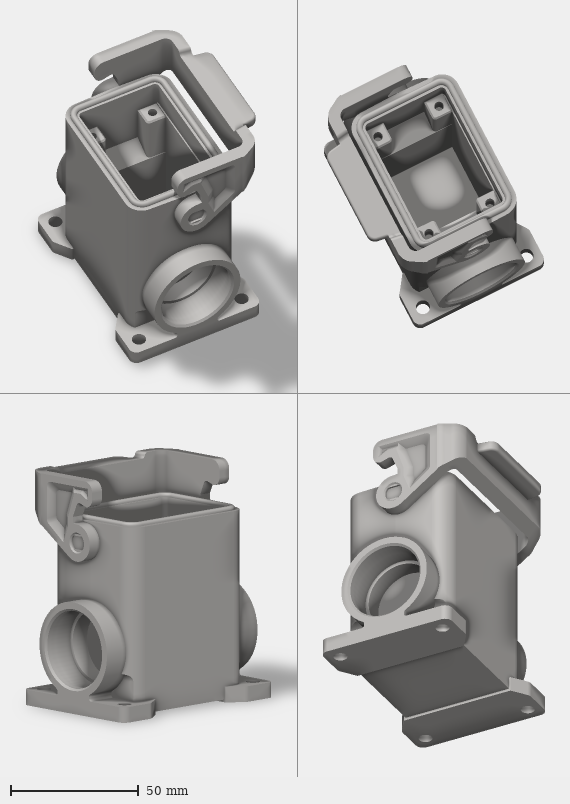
import cadquery as cq
import math

overall_length = 82.0
overlap = 0.9

body_half_x = 31.2
body_half_y = 23.0
body_corner_radius = 7.0
body_bottom = 1.1
body_top = 75.4
side_peak_x = 31.7

bead_half_x = 29.7
bead_half_y = 21.2
bead_width = 2.6
bead_height = 1.6
bead_round = 1.2
bead_corner_radius = 5.5

cavity_half_x = 26.1
cavity_half_y = 17.6
cavity_lower_half_y = 17.0
cavity_corner_radius = 1.85
cavity_floor = 4.6
ledge_z = 64.9

block_inner_x = 17.6
block_top_at_wall = 48.05
block_top_inside = 43.4

post_inner_x = 17.7
post_inner_y = 9.0
post_corner_radius = 1.5
post_top = 64.3
post_chamfer = 0.65
post_hole_x = 21.9
post_hole_y = 13.4
post_hole_radius = 1.85
post_hole_depth = 9.2

foot_half_x = overall_length / 2
foot_half_y = 28.55
foot_thickness = 6.2
foot_corner_radius = 3.1
foot_inner_x = 19.1
foot_inner_y = 23.7
foot_bevel_x = 26.1
foot_bevel_round = 2.8
foot_hole_x = 34.9
foot_hole_y = 22.7
foot_hole_radius = 2.8

recess_x = 28.8
recess_top = 16.9
recess_round = 2.8

boss_z = 25.4
boss_radius = 19.0
boss_bore_radius = 15.4
boss_mouth_radius = 16.3
boss_seat_x = 27.7
boss_inner_bore_radius = 14.0
boss_bore_end_x = 19.9
web_half_y = 8.9
web_round = 1.1

lever_half_x = 37.3
arm_inner_x = 32.0
lever_back_y = 30.8
lever_bar_inner_y = 26.0
lever_bulge_x = 37.6
lever_bulge_y = 21.8
lever_bulge_radius = 5.7
lever_flat_front = (36.5, 24.6)
lever_flat_back = (35.2, 26.8)
lever_corner_radius = 6.65
lever_corner_x = 29.8
lever_inner_radius = 3.1
lever_top = 92.4
lever_back_bottom = 78.1
lever_nose_y = -6.8
hub_y = 1.85
hub_z = 67.3
hub_radius = 7.4
nose_top_radius = 4.0
nose_bottom_radius = 3.2
nose_bottom = 82.2
throat_y = 4.0
throat_bottom = 74.8
throat_bend_z = 77.4
throat_top_y = 1.3
throat_top_z = 83.7
throat_round = 1.7

pocket_depth = 2.0
pocket_taper = 57.0
pocket_top = 89.7
pocket_back_y = 18.6
pocket_back_bottom = 73.55
pocket_tail = (9.2, 66.5)
pocket_front_low = (6.7, 73.0)
pocket_front_bend = (6.7, 76.9)
pocket_front_high = (3.5, 86.1)
pocket_round = 4.2
slot_depth = 0.8
slot_overlap = 1.1
slot_bottom = 87.1
slot_bend_y = -0.4
slot_front_y = -4.4
slot_front_bottom = 85.0
pivot_radius = 4.2
pivot_chamfer = 0.6
pivot_key_height = 5.45
pivot_key_depth = 1.4

tab_top = 90.1
tab_bottom = 85.9
tab_tip_y = 38.0
tab_root_half_x = 21.6
tab_tip_half_x = 19.7
tab_corner_radius = 3.3
tab_round = 0.8
notch_run = 3.0
notch_flare = 0.7


def rounded_box(half_x, half_y, radius, bottom, top):
    """Upright box centered on the Z axis, with rounded vertical edges."""
    box = cq.Workplane("XY").workplane(offset=bottom).rect(2 * half_x, 2 * half_y).extrude(top - bottom)
    return box.edges("|Z").fillet(radius)


def both_ends(shape):
    """The shape together with its mirror image at the opposite X end."""
    return shape.union(shape.mirror("YZ"))


def end_cylinder(radius, y, z, x_start, x_end):
    """Cylinder along X at the -X end, between two distances from the middle."""
    return cq.Workplane("YZ", origin=(-x_end, y, z)).circle(radius).extrude(x_end - x_start)


def end_countersink(outer_radius, inner_radius, y, z, x_outer):
    """45 degree countersink narrowing inward from a face at the -X end."""
    depth = outer_radius - inner_radius
    cone = cq.Solid.makeCone(
        outer_radius, inner_radius, depth, pnt=cq.Vector(-x_outer, y, z), dir=cq.Vector(1, 0, 0)
    )
    return cq.Workplane(cone)


def make_shell():
    """Solid block of the housing with slightly bulging end walls and recesses above the feet."""
    shell = rounded_box(body_half_x, body_half_y, body_corner_radius, body_bottom, body_top)
    corner_y = body_half_y - body_corner_radius
    bulge = (
        cq.Workplane("XY").workplane(offset=body_bottom)
        .polyline([
            (-side_peak_x, 0), (-body_half_x, corner_y), (body_half_x, corner_y),
            (side_peak_x, 0), (body_half_x, -corner_y), (-body_half_x, -corner_y),
        ])
        .close().extrude(body_top - body_bottom)
    )
    shell = shell.union(bulge)
    recess = (
        cq.Workplane("XY")
        .box(side_peak_x, 2 * foot_half_y, recess_top, centered=(False, True, False))
        .translate((recess_x, 0, 0))
        .edges("<X and >Z").fillet(recess_round)
    )
    return shell.cut(both_ends(recess))


def make_foot():
    """Foot plate at the -X end, beveled towards the long sides of the body."""
    half = (
        cq.Workplane("XY")
        .polyline([
            (-foot_half_x, 0), (-foot_half_x, foot_half_y), (-foot_bevel_x, foot_half_y),
            (-foot_inner_x, foot_inner_y), (-foot_inner_x, 0),
        ])
        .close().extrude(foot_thickness)
        .edges("|Z and <X and >Y").fillet(foot_corner_radius)
    )
    bevel_edge = cq.selectors.NearestToPointSelector((-foot_bevel_x, foot_half_y, foot_thickness / 2))
    half = half.edges(bevel_edge).fillet(foot_bevel_round)
    foot = half.union(half.mirror("XZ"))
    holes = (
        cq.Workplane("XY").pushPoints([(-foot_hole_x, foot_hole_y), (-foot_hole_x, -foot_hole_y)])
        .circle(foot_hole_radius).extrude(foot_thickness)
    )
    return foot.cut(holes)


def make_boss():
    """Cable entry at the -X end, joined to the foot plate by a web with rounded corners."""
    boss = end_cylinder(boss_radius, 0, boss_z, recess_x - recess_round, foot_half_x)
    web = (
        cq.Workplane("XY")
        .box(foot_half_x - recess_x, 2 * web_half_y, boss_z, centered=(False, True, False))
        .translate((-foot_half_x, 0, 0))
    )
    boss = boss.union(web)
    plate_length = foot_half_x - recess_x + recess_round
    plate = (
        cq.Workplane("XY")
        .box(plate_length, 2 * boss_radius, foot_thickness, centered=(False, True, False))
        .translate((-foot_half_x, 0, 0))
    )
    boss = boss.union(plate)
    circle_z = boss_z - math.sqrt(boss_radius ** 2 - web_half_y ** 2)
    mid_x = -(foot_half_x + recess_x) / 2
    for side in (-1, 1):
        for z in (foot_thickness, circle_z):
            edge = cq.selectors.NearestToPointSelector((mid_x, side * web_half_y, z))
            boss = boss.edges(edge).fillet(web_round)
    return boss


def make_boss_bore():
    """Blind stepped bore of the cable entry, with a countersunk mouth."""
    bore = end_cylinder(boss_bore_radius, 0, boss_z, boss_seat_x, foot_half_x)
    inner = end_cylinder(boss_inner_bore_radius, 0, boss_z, boss_bore_end_x, foot_half_x)
    mouth = end_countersink(boss_mouth_radius, boss_bore_radius, 0, boss_z, foot_half_x)
    return bore.union(inner).union(mouth)


def make_cavity():
    """Open-topped cavity, narrowed at both ends by the blocks behind the cable entries."""
    upper = rounded_box(cavity_half_x, cavity_half_y, cavity_corner_radius, ledge_z, body_top)
    lower = (
        cq.Workplane("XY", origin=(0, 0, cavity_floor))
        .rect(2 * cavity_half_x, 2 * cavity_lower_half_y).extrude(ledge_z - cavity_floor)
    )
    block = (
        cq.Workplane("XZ").workplane(offset=-cavity_half_y)
        .polyline([
            (-cavity_half_x, cavity_floor), (-block_inner_x, cavity_floor),
            (-block_inner_x, block_top_inside), (-cavity_half_x, block_top_at_wall),
        ])
        .close().extrude(2 * cavity_half_y)
    )
    return upper.union(lower).cut(both_ends(block))


def make_post(side_x, side_y):
    """Square post in the cavity corner on the given sides, with a blind screw hole."""
    size_x = cavity_half_x - post_inner_x
    size_y = cavity_half_y - post_inner_y
    center = (side_x * (post_inner_x + size_x / 2), side_y * (post_inner_y + size_y / 2))
    inner_corner = (side_x * post_inner_x, side_y * post_inner_y, post_top / 2)
    post = (
        cq.Workplane("XY", origin=(*center, cavity_floor))
        .rect(size_x, size_y).extrude(post_top - cavity_floor)
        .edges(cq.selectors.NearestToPointSelector(inner_corner)).fillet(post_corner_radius)
        .faces(">Z").chamfer(post_chamfer)
    )
    hole = (
        cq.Workplane("XY", origin=(side_x * post_hole_x, side_y * post_hole_y, post_top))
        .circle(post_hole_radius).extrude(-post_hole_depth)
    )
    return post.cut(hole)


def make_posts():
    """The four contact insert posts."""
    posts = cq.Workplane("XY")
    for side_x in (-1, 1):
        for side_y in (-1, 1):
            posts = posts.union(make_post(side_x, side_y))
    return posts


def make_bead():
    """Rounded sealing bead standing on the rim."""
    inner_radius = bead_corner_radius - bead_width
    bead_base = body_top - overlap
    outer = rounded_box(bead_half_x, bead_half_y, bead_corner_radius, bead_base, body_top + bead_height)
    inner = rounded_box(
        bead_half_x - bead_width, bead_half_y - bead_width, inner_radius, bead_base, body_top + bead_height
    )
    return outer.cut(inner).faces(">Z").edges().fillet(bead_round)


def tangent_point(point, center, radius):
    """Point where the lower tangent from a point behind a circle touches it."""
    dy = point[0] - center[0]
    dz = point[1] - center[1]
    angle = math.atan2(dz, dy) - math.acos(radius / math.hypot(dy, dz))
    return (center[0] + radius * math.cos(angle), center[1] + radius * math.sin(angle))


def make_lever_side():
    """Side outline of the lever, spanning its full width."""
    hub = (hub_y, hub_z)
    back_corner = (lever_back_y, lever_back_bottom)
    lower = tangent_point(back_corner, hub, hub_radius)
    hub_top_z = hub_z + hub_radius
    nose_center_y = lever_nose_y + nose_bottom_radius
    nose_center_z = nose_bottom + nose_bottom_radius
    dip = nose_bottom_radius * math.sqrt(0.5)
    outline = (
        cq.Workplane("YZ").workplane(offset=-lever_bulge_x)
        .moveTo(*back_corner)
        .lineTo(lever_back_y, lever_top)
        .lineTo(lever_nose_y + nose_top_radius, lever_top)
        .radiusArc((lever_nose_y, lever_top - nose_top_radius), -nose_top_radius)
        .lineTo(lever_nose_y, nose_center_z)
        .threePointArc((nose_center_y - dip, nose_center_z - dip), (nose_center_y, nose_bottom))
        .lineTo(throat_top_y, throat_top_z)
        .lineTo(throat_y, throat_bend_z)
        .lineTo(throat_y, throat_bottom)
        .lineTo(hub_y, hub_top_z)
        .threePointArc((hub_y - hub_radius, hub_z), lower)
        .close().extrude(2 * lever_bulge_x)
    )
    throat_edge = cq.selectors.NearestToPointSelector((0, throat_top_y, throat_top_z))
    return outline.edges(throat_edge).fillet(throat_round)


def make_lever_plan():
    """Plan outline of the lever: two arms joined by the bar at the back."""
    front_y = lever_nose_y - hub_radius
    base = hub_z - 2 * hub_radius
    height = lever_top - base
    plan = cq.Workplane("XY", origin=(0, 0, base))
    half = (
        plan.moveTo(0, front_y)
        .lineTo(lever_half_x, front_y)
        .lineTo(lever_half_x, lever_bulge_y)
        .lineTo(lever_bulge_x, lever_bulge_y)
        .radiusArc(lever_flat_front, -lever_bulge_radius)
        .lineTo(*lever_flat_back)
        .radiusArc((lever_corner_x, lever_back_y), -lever_corner_radius)
        .lineTo(0, lever_back_y)
        .close().extrude(height)
    )
    opening = (
        plan.moveTo(0, (front_y + lever_bar_inner_y) / 2)
        .rect(2 * arm_inner_x, lever_bar_inner_y - front_y).extrude(height)
        .edges("|Z and >Y").fillet(lever_inner_radius)
    )
    return both_ends(half).cut(opening)


def make_arm_recesses():
    """Tapered pocket and nose slot in the outer face of the arm at the -X end."""
    face = cq.Workplane("YZ", origin=(-lever_half_x, 0, 0))
    front_y, front_top = pocket_front_high
    pocket = (
        face.moveTo(pocket_back_y, pocket_top)
        .lineTo(front_y, pocket_top)
        .lineTo(front_y, front_top)
        .lineTo(*pocket_front_bend)
        .lineTo(*pocket_front_low)
        .lineTo(*pocket_tail)
        .lineTo(pocket_back_y, pocket_back_bottom)
        .close().extrude(pocket_depth, taper=pocket_taper)
    )
    inset = pocket_depth * math.tan(math.radians(pocket_taper))
    corner_x = -lever_half_x + pocket_depth / 2
    for corner_z in (pocket_top - inset / 2, pocket_back_bottom + inset / 4):
        corner = cq.selectors.NearestToPointSelector((corner_x, pocket_back_y - inset / 2, corner_z))
        pocket = pocket.edges(corner).fillet(pocket_round)
    slot = (
        face.moveTo(front_y + slot_overlap, pocket_top)
        .lineTo(slot_front_y, pocket_top)
        .lineTo(slot_front_y, slot_front_bottom)
        .lineTo(slot_bend_y, slot_bottom)
        .lineTo(front_y + slot_overlap, slot_bottom)
        .close().extrude(slot_depth, taper=pocket_taper)
    )
    return pocket.union(slot)


def make_pivot_recess():
    """Countersunk recess over the hub, ending in a hole with two flats."""
    key_radius = pivot_radius - pivot_chamfer
    dish = end_countersink(pivot_radius, key_radius, hub_y, hub_z, lever_half_x)
    key = end_cylinder(key_radius, hub_y, hub_z, lever_half_x - pivot_key_depth, lever_half_x)
    flats = cq.Workplane("XY", origin=(-lever_half_x, hub_y, hub_z)).box(
        2 * pivot_key_depth, 2 * pivot_radius, pivot_key_height
    )
    return dish.union(key.intersect(flats))


def make_tab():
    """Thumb tab behind the bar, tapering towards its rounded tip."""
    tab = (
        cq.Workplane("XY", origin=(0, 0, tab_bottom))
        .polyline([
            (-tab_root_half_x, lever_bar_inner_y), (-tab_tip_half_x, tab_tip_y),
            (tab_tip_half_x, tab_tip_y), (tab_root_half_x, lever_bar_inner_y),
        ])
        .close().extrude(tab_top - tab_bottom)
        .edges("|Z and >Y").fillet(tab_corner_radius)
    )
    return tab.faces(">Z or <Z").edges("not <Y").fillet(tab_round)


def make_notch():
    """Notch in the bar, with S-curved ends, flaring slightly towards the body like the tab."""
    rise = lever_top - tab_top
    end_radius = (notch_run ** 2 + rise ** 2) / (4 * rise)
    middle_z = tab_top + rise / 2

    def section(plane, half_x):
        middle_x = half_x + notch_run / 2
        top_x = half_x + notch_run
        return (
            plane.moveTo(-half_x, tab_top).lineTo(half_x, tab_top)
            .radiusArc((middle_x, middle_z), -end_radius)
            .radiusArc((top_x, lever_top), end_radius)
            .lineTo(-top_x, lever_top)
            .radiusArc((-middle_x, middle_z), end_radius)
            .radiusArc((-half_x, tab_top), -end_radius)
            .close()
        )

    back = section(cq.Workplane("XZ", origin=(0, lever_back_y, 0)), tab_root_half_x - notch_flare)
    inner = back.workplane(offset=lever_back_y - lever_bar_inner_y)
    return section(inner, tab_root_half_x).loft(ruled=True)


def make_lever():
    """Complete lever with the pivots joining it to the body."""
    lever = make_lever_side().intersect(make_lever_plan())
    lever = lever.cut(make_notch()).union(make_tab())
    lever = lever.cut(both_ends(make_arm_recesses())).cut(both_ends(make_pivot_recess()))
    pivot = end_cylinder(pivot_radius, hub_y, hub_z, body_half_x - overlap, arm_inner_x)
    return lever.union(both_ends(pivot))


body = make_shell().union(both_ends(make_foot())).union(both_ends(make_boss()))
body = body.cut(make_cavity()).union(make_posts())
body = body.cut(both_ends(make_boss_bore())).union(make_bead())
result = body.union(make_lever())